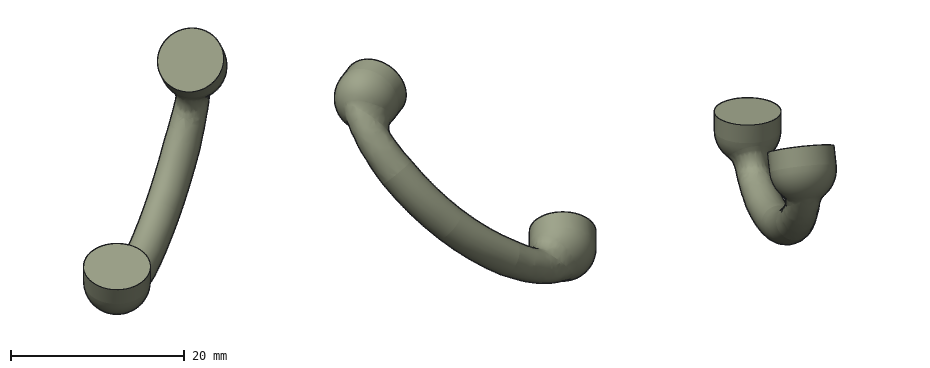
import cadquery as cq
import math


cup_radius = 3.85
dome_depth = 2.3

cup_spacing = 28.85
tilt = 15.0

handle_radius = 2.13
neck_radius = 1.73
bow_depth = 10.95
bow_radius = 24.98
bow_half_angle = 20.0
neck_point = (-0.88, -4.05)
neck_slope = 44.0
blend_radius = 2.2

along = (math.cos(math.radians(tilt)), math.sin(math.radians(tilt)))
down = (along[1], -along[0])


def from_middle(offset, depth):
    """(Y, Z) of a point given along and below the face-centre line's midpoint."""
    distance = cup_spacing / 2 + offset
    return tuple(a * distance + d * depth for a, d in zip(along, down))


def cup():
    """Straight round wall running into a hemispherical base."""
    dome_bottom = -dome_depth - cup_radius
    arc_drop = cup_radius * math.sqrt(0.5)
    return (
        cq.Workplane("XZ")
        .lineTo(cup_radius, 0)
        .lineTo(cup_radius, -dome_depth)
        .threePointArc((arc_drop, -dome_depth - arc_drop), (0, dome_bottom))
        .close()
        .revolve(360, (0, 0, 0), (0, 1, 0))
    )


def section(point, direction, radius):
    """Round handle section square to the centreline."""
    return cq.Wire.makeCircle(radius, cq.Vector(0, *point), cq.Vector(0, *direction))


def bow_point(angle):
    """(Y, Z) on the bow's centreline, at an angle from mid-length towards the front cup."""
    return from_middle(
        -bow_radius * math.sin(angle), bow_depth - bow_radius * (1 - math.cos(angle))
    )


def half_handle():
    """Circular bow from mid-length, then an elbow that slims down into the cup."""
    angle = math.radians(bow_half_angle)
    bow_start = bow_point(0)
    bow_end = bow_point(angle)
    start_direction = (-along[0], -along[1])
    end_slope = math.radians(tilt) - angle
    end_direction = (-math.cos(end_slope), -math.sin(end_slope))
    end_section = section(bow_end, end_direction, handle_radius)

    bow_path = cq.Workplane("YZ").moveTo(*bow_start).threePointArc(bow_point(angle / 2), bow_end)
    start_section = section(bow_start, start_direction, handle_radius)
    bow = cq.Solid.sweep(start_section, [], bow_path.val())

    rise = math.radians(neck_slope)
    neck_direction = (-math.cos(rise), math.sin(rise))
    neck_section = section(neck_point, neck_direction, neck_radius)
    elbow_path = cq.Workplane("YZ").spline(
        [bow_end, neck_point], tangents=[end_direction, neck_direction]
    )
    elbow = cq.Solid.sweep_multi([end_section, neck_section], elbow_path.val())
    return cq.Workplane(bow).union(cq.Workplane(elbow))


half = cup().union(half_handle())
seam = cq.selectors.BoxSelector(
    (-cup_radius, -cup_radius, -2 * cup_radius), (cup_radius, cup_radius, -dome_depth)
)
half = half.edges(seam).edges("%BSPLINE").fillet(blend_radius)

middle = cq.Vector(0, *from_middle(0, 0))
mirrored_half = half.mirror(cq.Vector(0, *along), middle)
result = half.union(mirrored_half)